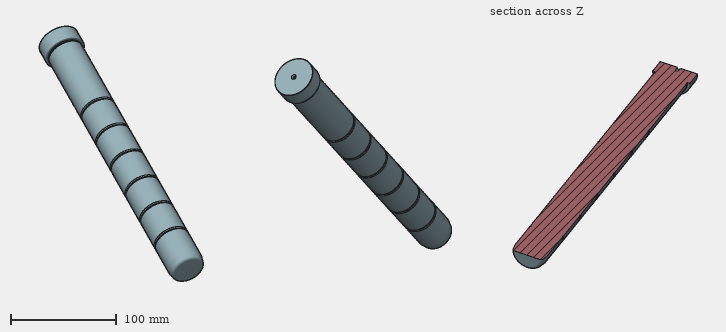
import cadquery as cq

length = 310.0
head_diameter = 40.0
head_length = 16.0
head_edge_radius = 0.5
head_face_chamfer = 0.3
shaft_diameter = 35.0

relief_width = 2.0
relief_depth = 0.3

groove_count = 6
groove_pitch = 35.0
first_groove_start = 93.5
groove_width = 2.8
groove_depth = 0.45

taper_length = 5.5
taper_drop = 1.2
nose_radius = 2.8

centre_mouth_diameter = 5.0
centre_drill_diameter = 2.5
centre_drill_depth = 5.0

head_radius = head_diameter / 2
shaft_radius = shaft_diameter / 2


def pin_body():
    """Revolve the headed pin with its tapered, rounded tip about X."""
    nose_start = length - nose_radius
    nose_outer = shaft_radius - taper_drop
    return (
        cq.Workplane("XY")
        .moveTo(0, 0)
        .lineTo(0, head_radius - head_face_chamfer)
        .lineTo(head_face_chamfer, head_radius)
        .lineTo(head_length - head_edge_radius, head_radius)
        .radiusArc((head_length, head_radius - head_edge_radius), head_edge_radius)
        .lineTo(head_length, shaft_radius)
        .lineTo(nose_start - taper_length, shaft_radius)
        .lineTo(nose_start, nose_outer)
        .radiusArc((length, nose_outer - nose_radius), nose_radius)
        .lineTo(length, 0)
        .close()
        .revolve(360, (0, 0, 0), (1, 0, 0))
    )


def ring_cut(start, width, depth):
    """V-shaped ring that leaves a groove around the shaft."""
    middle = start + width / 2
    return (
        cq.Workplane("XY")
        .moveTo(start, shaft_radius)
        .lineTo(middle, shaft_radius - depth)
        .lineTo(start + width, shaft_radius)
        .close()
        .revolve(360, (0, 0, 0), (1, 0, 0))
    )


def centre_hole():
    """Countersunk blind centre hole in the head face, with a 90 degree mouth."""
    mouth_radius = centre_mouth_diameter / 2
    drill_radius = centre_drill_diameter / 2
    return (
        cq.Workplane("XY")
        .moveTo(0, 0)
        .lineTo(0, mouth_radius)
        .lineTo(mouth_radius - drill_radius, drill_radius)
        .lineTo(centre_drill_depth, drill_radius)
        .lineTo(centre_drill_depth, 0)
        .close()
        .revolve(360, (0, 0, 0), (1, 0, 0))
    )


result = pin_body().cut(ring_cut(head_length, relief_width, relief_depth))
for index in range(groove_count):
    groove_start = first_groove_start + index * groove_pitch
    result = result.cut(ring_cut(groove_start, groove_width, groove_depth))
result = result.cut(centre_hole())